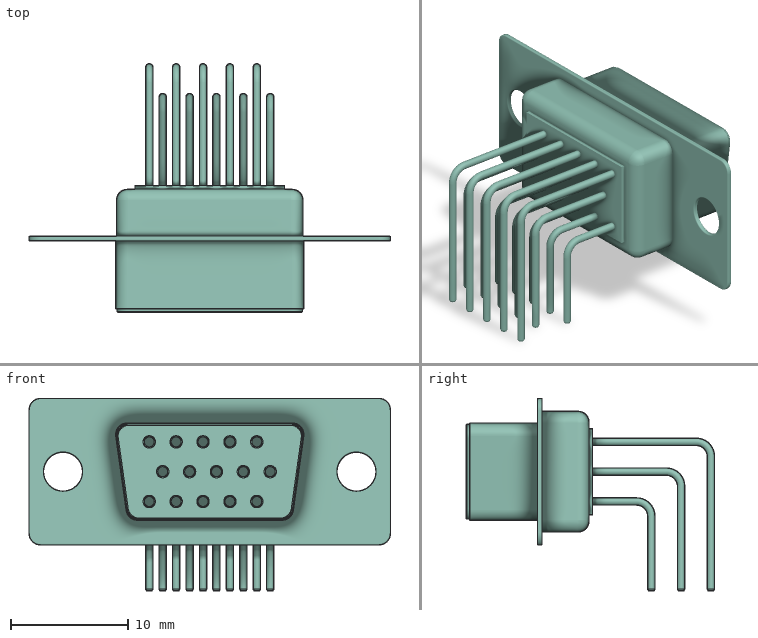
import math

import cadquery as cq


flange_width = 30.8
flange_height = 12.5
flange_thickness = 0.4
flange_corner_radius = 1.0
flange_edge_radius = 0.1
mounting_hole_diameter = 3.3
mounting_hole_spacing = 25.0

shell_height = 8.3
shell_top_width = 16.35
shell_side_angle = 8.0
shell_corner_radius = 1.0
shell_length = 5.8
shell_edge_chamfer = 0.05
insert_inset = 0.1
insert_projection = 0.3
insert_edge_chamfer = 0.1

housing_width = 15.9
housing_height = 10.3
housing_depth = 4.0
housing_corner_radius = 1.0
housing_rear_radius = 0.95
pad_width = 12.75
pad_height = 7.35
pad_thickness = 0.3

row_count = 3
contacts_per_row = 5
contact_pitch = 2.29
row_pitch = 2.54
socket_diameter = 0.85
socket_rim_diameter = 1.05
socket_depth = 4.0

pin_diameter = 0.64
pin_bend_radius = 1.25
pin_tip_z = -10.15
pin_tip_chamfer_length = 0.15
pin_tip_chamfer_width = 0.08
lowest_row_drop_y = 9.7
drop_pitch = 2.54

insert_face_y = -(shell_length + insert_projection)
housing_back_y = flange_thickness + housing_depth
pad_back_y = housing_back_y + pad_thickness


def xz_plane(y):
    """Workplane at depth y with local x = X, local y = Z and extrusion toward -Y."""
    return cq.Workplane("XZ", origin=(0, y, 0))


def row_height(row):
    """Z of a contact row, counted upward from the lowest."""
    return (row - (row_count - 1) / 2) * row_pitch


def contact_positions(row):
    """X of every contact in a row; odd and even rows sit a quarter pitch either side of center."""
    quarter_pitch = contact_pitch / 4
    shift = quarter_pitch if row % 2 else -quarter_pitch
    middle = (contacts_per_row - 1) / 2
    return [(i - middle) * contact_pitch + shift for i in range(contacts_per_row)]


def make_flange():
    plate = (
        xz_plane(flange_thickness)
        .rect(flange_width, flange_height)
        .extrude(flange_thickness)
        .edges("|Y")
        .fillet(flange_corner_radius)
    )
    holes = (
        xz_plane(flange_thickness)
        .rarray(mounting_hole_spacing, 1, 2, 1)
        .circle(mounting_hole_diameter / 2)
        .extrude(flange_thickness)
    )
    return plate.cut(holes).faces("<Y or >Y").edges().fillet(flange_edge_radius)


def d_prism(inset, start_y, length):
    """D-shaped prism, its outline moved inward by inset, running from start_y toward -Y."""
    slope = math.tan(math.radians(shell_side_angle))
    half_height = shell_height / 2
    half_top = shell_top_width / 2
    half_bottom = half_top - shell_height * slope
    prism = (
        xz_plane(start_y)
        .polyline([
            (-half_top, half_height),
            (half_top, half_height),
            (half_bottom, -half_height),
            (-half_bottom, -half_height),
        ])
        .close()
        .offset2D(-inset)
        .extrude(length)
    )
    return prism.edges("|Y").fillet(shell_corner_radius)


def make_shell():
    return d_prism(0, 0, shell_length).faces("<Y").edges().chamfer(shell_edge_chamfer)


def make_insert():
    insert = d_prism(insert_inset, -shell_length, insert_projection)
    return insert.faces("<Y").edges().chamfer(insert_edge_chamfer)


def make_housing():
    housing = (
        xz_plane(housing_back_y)
        .rect(housing_width, housing_height)
        .extrude(housing_depth)
        .edges("|Y")
        .fillet(housing_corner_radius)
    )
    housing = housing.faces(">Y").edges().fillet(housing_rear_radius)
    pad = xz_plane(pad_back_y).rect(pad_width, pad_height).extrude(pad_thickness)
    return housing.union(pad)


def make_socket(x, z):
    """Blind contact hole with a 45-degree lead-in."""
    rim_radius = socket_rim_diameter / 2
    bore_radius = socket_diameter / 2
    lead_in = rim_radius - bore_radius
    profile = (
        cq.Workplane("XY", origin=(x, insert_face_y, z))
        .polyline([
            (0, 0),
            (rim_radius, 0),
            (bore_radius, lead_in),
            (bore_radius, socket_depth),
            (0, socket_depth),
        ])
        .close()
    )
    return profile.revolve(360, (0, 0, 0), (0, 1, 0))


def make_pin(x, z, drop_y):
    """Round pin leaving the pad at height z and turning down at drop_y."""
    bend_start_y = drop_y - pin_bend_radius
    bend_end_z = z - pin_bend_radius
    bend_mid_offset = pin_bend_radius * math.sqrt(0.5)
    bend_mid = (bend_start_y + bend_mid_offset, bend_end_z + bend_mid_offset)
    path = (
        cq.Workplane("YZ", origin=(x, 0, 0))
        .moveTo(housing_back_y, z)
        .lineTo(bend_start_y, z)
        .threePointArc(bend_mid, (drop_y, bend_end_z))
        .lineTo(drop_y, pin_tip_z)
    )
    pin = xz_plane(housing_back_y).center(x, z).circle(pin_diameter / 2).sweep(path)
    return pin.faces("<Z").edges().chamfer(pin_tip_chamfer_length, pin_tip_chamfer_width)


result = make_flange().union(make_shell()).union(make_insert()).union(make_housing())
for row in range(row_count):
    z = row_height(row)
    drop_y = lowest_row_drop_y + row * drop_pitch
    for x in contact_positions(row):
        result = result.cut(make_socket(x, z)).union(make_pin(x, z, drop_y))